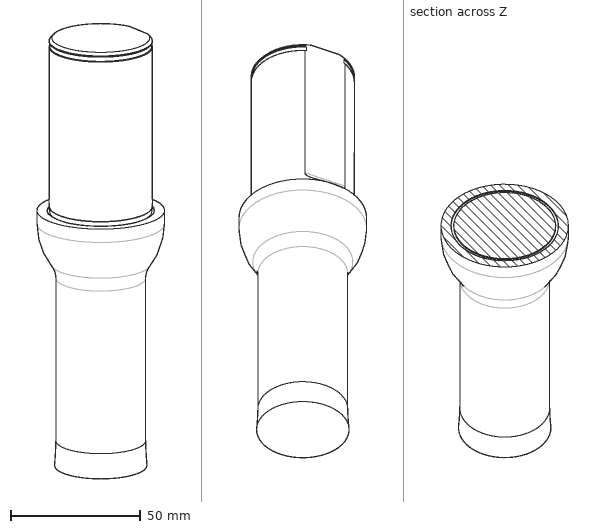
import cadquery as cq
import math

total_height = 174.0
tip_height = 1.0
head_top = 11.1
body_top = 76.9
flange_bottom = 98.8
flange_top = 104.2
neck_top = 105.6
collar_groove_bottom = 170.3
collar_groove_top = 172.3
rim_height = 0.3

body_radius = 34.8 / 2
head_radius = 35.8 / 2
flange_radius = 49.5 / 2
neck_radius = 39.5 / 2
shank_radius = 40.0 / 2
end_face_radius = 19.0
relief_radius = 20.7

relief_depth = 0.5

bell_convex_radius = 26.8

flat_offset = 18.0
flat_bottom = 108.0
flat_runout_radius = 2.8

groove_chamfer = shank_radius - neck_radius


def make_head():
    """Flared cutting head with a shallow domed tip."""
    dome_radius = (head_radius**2 + tip_height**2) / (2 * tip_height)
    dome_middle_x = head_radius / 2
    dome_middle = (dome_middle_x, dome_radius - math.sqrt(dome_radius**2 - dome_middle_x**2))
    flare_middle = ((2 * body_radius + head_radius) / 3, (head_top + tip_height) / 2)
    return (
        cq.Workplane("XZ")
        .threePointArc(dome_middle, (head_radius, tip_height))
        .threePointArc(flare_middle, (body_radius, head_top))
        .lineTo(0, head_top)
        .close()
        .revolve(360, (0, 0), (0, 1))
    )


def make_holder_blank():
    """Round holder: body, bell, flange, and shank with its two grooves."""
    bell_height = flange_bottom - body_top
    bell_angle = 2 * math.atan((flange_radius - body_radius) / bell_height)
    concave_radius = bell_height / math.sin(bell_angle) - bell_convex_radius

    def convex_point(angle):
        return (
            flange_radius - bell_convex_radius * (1 - math.cos(angle)),
            flange_bottom - bell_convex_radius * math.sin(angle),
        )

    def concave_point(angle):
        return (
            body_radius + concave_radius * (1 - math.cos(angle)),
            body_top + concave_radius * math.sin(angle),
        )

    rim_top = collar_groove_top + groove_chamfer + rim_height
    return (
        cq.Workplane("XZ")
        .moveTo(0, head_top)
        .lineTo(body_radius, head_top)
        .lineTo(body_radius, body_top)
        .threePointArc(concave_point(bell_angle / 2), concave_point(bell_angle))
        .threePointArc(convex_point(bell_angle / 2), (flange_radius, flange_bottom))
        .lineTo(flange_radius, flange_top)
        .lineTo(relief_radius, flange_top)
        .lineTo(relief_radius, flange_top - relief_depth)
        .lineTo(neck_radius, flange_top - relief_depth)
        .lineTo(neck_radius, neck_top)
        .lineTo(shank_radius, neck_top + groove_chamfer)
        .lineTo(shank_radius, collar_groove_bottom)
        .lineTo(neck_radius, collar_groove_bottom + groove_chamfer)
        .lineTo(neck_radius, collar_groove_top)
        .lineTo(shank_radius, collar_groove_top + groove_chamfer)
        .lineTo(shank_radius, rim_top)
        .lineTo(end_face_radius, total_height)
        .lineTo(0, total_height)
        .close()
        .revolve(360, (0, 0), (0, 1))
    )


def make_flat_cutter():
    """Volume removed for the shank flat, with a rounded run-out at its lower end."""
    clear_side = flat_offset + 2 * flat_runout_radius
    arc_shift = flat_runout_radius * (1 - math.cos(math.pi / 4))
    return (
        cq.Workplane("YZ")
        .moveTo(flat_offset, total_height)
        .lineTo(flat_offset, flat_bottom + flat_runout_radius)
        .threePointArc(
            (flat_offset + arc_shift, flat_bottom + arc_shift),
            (flat_offset + flat_runout_radius, flat_bottom),
        )
        .lineTo(clear_side, flat_bottom)
        .lineTo(clear_side, total_height)
        .close()
        .extrude(shank_radius, both=True)
    )


head = make_head()
holder = make_holder_blank().cut(make_flat_cutter())

result = cq.Compound.makeCompound([head.val(), holder.val()])